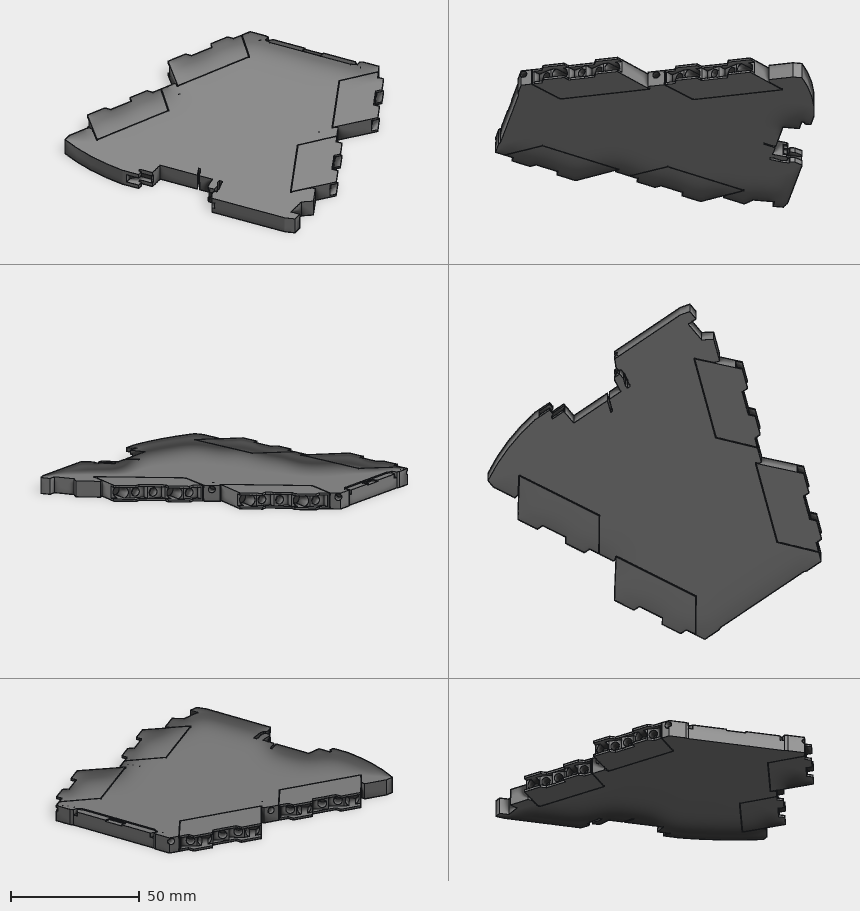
import cadquery as cq
import math


width = 109.3
height = 119.2
thickness = 6.3
half_thickness = thickness / 2

flank_slope = 0.434
plate_thickness = 0.8
core_height = thickness - 2 * plate_thickness
terminal_step = (-8.6, -50.9)
terminal_bottom_y = 64.5
clamp_pitch = 19.2
bump_out = 2.6
bump_start = 3.8
bump_end = 11.5
bump_undercut = 2.1
tip_drop = 31.0
inner_corner = (10.3, -13.2)
inner_edge_drop = 32.7
lower_slit_width = 0.4
upper_slit_mouth = -45.0
lower_slit_mouth = -39.7
shoulder_rise = 6.0
seam_width = 0.2
seam_depth = 0.8
seam_mouth = 0.4

notch_length = 6.3
notch_wall_drop = 2.6
first_notch = 0.8
middle_notch = 13.7
wire_hole_diameter = 3.3
wire_hole_depth = 6.0
wire_hole_place = 0.6
screw_hole_diameter = 5.2
screw_hole_depth = 7.2
screw_drop = 10.4

side_hole_diameter = 2.6
side_hole_depth = 7.2
side_hole_rise = 3.0
side_hole_z = 1.5

upper_edge_y = 118.7
upper_land_end = 21.3
recess_half_width = 20.1
recess_floor_half_width = 17.8
recess_side_y = 116.6
recess_bottom_y = 115.4
recess_depth = 0.5
recess_corner = 1.9
recess_corner_drop = 0.2
recess_corner_depth = 2.1
finger_half_width = 4.0
finger_bottom_y = 116.2
finger_depth = 1.0

rail_y = 12.9
left_step_x = -11.8
left_step_y = 6.4
left_foot_y = 2.6
side_foot_x = 53.6
side_foot_y = 16.5
tooth_corner = (-49.8, 25.3)
left_slot_x = -21.1
left_slot_ramp = (-19.5, 7.3)
left_slot_ramp_rise = 1.8
left_slot_deep_x = -12.6
left_slot_deep_y = 8.9
left_slot_height = 3.2
right_slot_x = 19.0
right_slot_top_y = 6.0
right_slot_height = 2.3
latch_recess_height = 4.3
latch_recess_x = 13.4
latch_recess_left_x = 11.3
latch_recess_left_y = 8.8
latch_recess_top_y = 8.1
latch_nick_x = 14.5
latch_nick_height = 2.4


def flank_point(drop, out=0.0):
    """Left-hand point relative to the terminal start, on the flank or outside it."""
    return (-flank_slope * drop - out, -drop)


def shifted(origin, point):
    return (origin[0] + point[0], origin[1] + point[1])


def mirrored_outline(points):
    return [(-x, y) for x, y in reversed(points)]


def prism(points, z_low, z_high):
    return cq.Workplane("XY").workplane(offset=z_low).polyline(points).close().extrude(z_high - z_low)


def block(x_low, x_high, y_low, y_high, z_low, z_high):
    corners = [(x_low, y_low), (x_high, y_low), (x_high, y_high), (x_low, y_high)]
    return prism(corners, z_low, z_high)


def bore(start, direction, z, diameter, depth):
    """Cylinder lying in a plane of constant Z, from start along direction."""
    length = math.hypot(direction[0], direction[1])
    axis = cq.Vector(direction[0] / length, direction[1] / length, 0)
    origin = cq.Vector(start[0], start[1], z)
    overlap = diameter
    return cq.Workplane(
        cq.Solid.makeCylinder(diameter / 2, depth + overlap, origin - axis * overlap, axis)
    )


tip = flank_point(tip_drop, bump_out)
bottom = (inner_corner[0] - flank_slope * inner_edge_drop, inner_corner[1] - inner_edge_drop)
lower_edge_run = (bottom[0] - tip[0]) / (tip[1] - bottom[1])
core_tip_drop = tip_drop + bump_out / (flank_slope + lower_edge_run)
core_tip = flank_point(core_tip_drop)

lower_start = (-width / 2 - tip[0], terminal_bottom_y)
upper_start = (lower_start[0] - terminal_step[0], lower_start[1] - terminal_step[1])
terminal_starts = [upper_start, lower_start]


def slit_side(y):
    """Body side of the narrow slit below a terminal, at a height relative to its start."""
    return (tip[0] + lower_edge_run * (tip[1] - y) - lower_slit_width, y)


def left_side():
    """Left edge of the body and terminal cores, from the top corner down to the foot."""
    top_rise = height - upper_start[1]
    slit_end = (bottom[0] - lower_slit_width, bottom[1])
    shoulder_corner = shifted(lower_start, flank_point(-shoulder_rise))
    points = [shifted(upper_start, flank_point(-top_rise))]
    points += [shifted(upper_start, p) for p in (core_tip, bottom, slit_end, slit_side(upper_slit_mouth))]
    points += [shoulder_corner]
    points += [shifted(lower_start, p) for p in (core_tip, bottom, slit_end, slit_side(lower_slit_mouth))]
    points += [tooth_corner, (-side_foot_x, side_foot_y)]
    return points


def body():
    left = left_side()
    right = mirrored_outline(left)
    outline = cq.Workplane("XY").workplane(offset=-half_thickness).polyline(
        [(-upper_land_end, height)] + left + [(-side_foot_x, rail_y)]
    )
    outline = outline.threePointArc((-38.7, 6.3), (-22.9, left_foot_y))
    left_hook = [
        (-15.9, left_foot_y), (-15.9, 4.9), (-17.3, 5.6), (-17.3, left_step_y),
        (left_step_x, left_step_y), (left_step_x, rail_y),
    ]
    relief_slit = [(4.5, rail_y), (2.5, 17.8), (3.3, 17.8), (5.5, rail_y)]
    latch = [
        (11.1, rail_y), (12.2, 7.3), (12.9, left_step_y), (15.4, left_step_y),
        (15.4, 8.9), (14.1, 11.8), (14.1, 13.2), (15.4, 13.2),
    ]
    right_foot = [
        (16.9, 7.5), (16.9, 5.4), (16.0, 5.1), (16.0, 3.2), (17.8, 0), (49.8, 0),
        (side_foot_x, 1.1), (side_foot_x, 5.1), (49.8, 5.1), (49.8, 13.7),
    ]
    upper_edge = [
        (upper_land_end, height), (recess_half_width, upper_edge_y), (-recess_half_width, upper_edge_y),
    ]
    for point in left_hook + relief_slit + latch + right_foot + right + upper_edge:
        outline = outline.lineTo(*point)
    return outline.close().extrude(thickness)


def terminal_plate_outline(start):
    points = [(0, 0)]
    for drop in (0, clamp_pitch):
        points.append(flank_point(bump_start + drop))
        points.append(flank_point(bump_start + drop, bump_out))
        if drop == 0:
            points.append(flank_point(bump_end, bump_out))
            points.append(flank_point(bump_end + bump_undercut))
    points += [tip, bottom, inner_corner]
    return [shifted(start, p) for p in points]


def terminal_plates(start):
    outline = terminal_plate_outline(start)
    upper = prism(outline, half_thickness - plate_thickness, half_thickness)
    lower = prism(outline, -half_thickness, plate_thickness - half_thickness)
    return upper.union(lower)


def seam_groove(start, first, second):
    """Narrow groove between two terminal points, cut into both faces."""
    run = (second[0] - first[0], second[1] - first[1])
    length = math.hypot(run[0], run[1])
    across = (-run[1] / length * seam_width / 2, run[0] / length * seam_width / 2)
    back = (-across[0], -across[1])
    corners = [shifted(first, across), shifted(second, across), shifted(second, back), shifted(first, back)]
    outline = [shifted(start, p) for p in corners]
    upper = prism(outline, half_thickness - seam_depth, half_thickness)
    lower = prism(outline, -half_thickness, seam_depth - half_thickness)
    return upper.union(lower)


def terminal_seams(start):
    """Seams along the upper and inner edges of a terminal, with a nick in the flank."""
    seams = seam_groove(start, (0, 0), inner_corner).union(seam_groove(start, inner_corner, bottom))
    nick = [flank_point(0), flank_point(seam_mouth), (seam_mouth, -seam_mouth)]
    return seams.union(prism([shifted(start, p) for p in nick], -half_thickness, half_thickness))


def core_cuts(start):
    """Notches, wire entries and screw holes between the two plates of a terminal."""
    half_core = core_height / 2
    wall_run = notch_wall_drop * inner_corner[0] / -inner_corner[1]
    cuts = cq.Workplane("XY")
    for drop in (first_notch, middle_notch, first_notch + clamp_pitch):
        mouth_top = flank_point(drop)
        root = shifted(mouth_top, (wall_run, -notch_wall_drop))
        mouth_bottom = flank_point(drop + notch_length)
        notch = [shifted(start, p) for p in (mouth_top, root, mouth_bottom)]
        cuts = cuts.union(prism(notch, -half_core, half_core))
        hole = (
            root[0] + wire_hole_place * (mouth_bottom[0] - root[0]),
            root[1] + wire_hole_place * (mouth_bottom[1] - root[1]),
        )
        cuts = cuts.union(bore(shifted(start, hole), inner_corner, 0, wire_hole_diameter, wire_hole_depth))
    for drop in (screw_drop, screw_drop + clamp_pitch):
        place = shifted(start, flank_point(drop))
        screw = bore(place, inner_corner, 0, screw_hole_diameter, screw_hole_depth)
        cuts = cuts.union(screw)
    between_plates = block(-width, 0, 0, height, -half_core, half_core)
    return cuts.intersect(between_plates)


def side_hole(start):
    place = shifted(start, flank_point(-side_hole_rise))
    return bore(place, (1, -flank_slope), side_hole_z, side_hole_diameter, side_hole_depth)


def label_recess():
    """Shallow label recess, a deeper finger notch and two deep corners."""
    left = [
        (0, recess_bottom_y), (-recess_floor_half_width, recess_bottom_y),
        (-recess_half_width, recess_side_y), (-recess_half_width, height), (0, height),
    ]
    half = prism(left, half_thickness - recess_depth, half_thickness)
    corner_points = [
        (-recess_half_width, recess_side_y), (-recess_half_width, height),
        (recess_corner - recess_half_width, height),
        (recess_corner - recess_half_width, upper_edge_y - recess_corner_drop),
    ]
    half = half.union(prism(corner_points, half_thickness - recess_corner_depth, half_thickness))
    finger = block(
        -finger_half_width, finger_half_width, finger_bottom_y, height,
        half_thickness - finger_depth, half_thickness,
    )
    return half.union(half.mirror("YZ")).union(finger)


def left_hook_slot():
    """Central slot through the left hook, ramped at its entry and deeper in the middle."""
    outline = [
        (left_slot_x, 0), (left_slot_x, left_slot_ramp[1] - left_slot_ramp_rise), left_slot_ramp,
        (left_slot_ramp[0], left_slot_deep_y), (left_slot_deep_x, left_slot_deep_y),
        (left_slot_deep_x, left_slot_ramp[1]), (left_step_x, left_slot_ramp[1]), (left_step_x, 0),
    ]
    return prism(outline, -left_slot_height / 2, left_slot_height / 2)


def latch_recess():
    """Recess in the latch tip, open to the left, with a narrower nick beside it."""
    recess = [
        (latch_recess_left_x, left_step_y), (latch_recess_left_x, latch_recess_left_y),
        (latch_recess_x, latch_recess_top_y), (latch_recess_x, left_step_y),
    ]
    half_recess = latch_recess_height / 2
    half_nick = latch_nick_height / 2
    nick = block(latch_recess_x, latch_nick_x, left_step_y, latch_recess_top_y, -half_nick, half_nick)
    return prism(recess, -half_recess, half_recess).union(nick)


def right_toe_slot():
    half_slot = right_slot_height / 2
    return block(latch_nick_x, right_slot_x, 0, right_slot_top_y, -half_slot, half_slot)


result = body()
for terminal_start in terminal_starts:
    plates = terminal_plates(terminal_start)
    result = result.union(plates).union(plates.mirror("YZ"))
for terminal_start in terminal_starts:
    for cut in (core_cuts(terminal_start), terminal_seams(terminal_start), side_hole(terminal_start)):
        result = result.cut(cut).cut(cut.mirror("YZ"))
result = result.cut(label_recess()).cut(left_hook_slot()).cut(latch_recess()).cut(right_toe_slot())